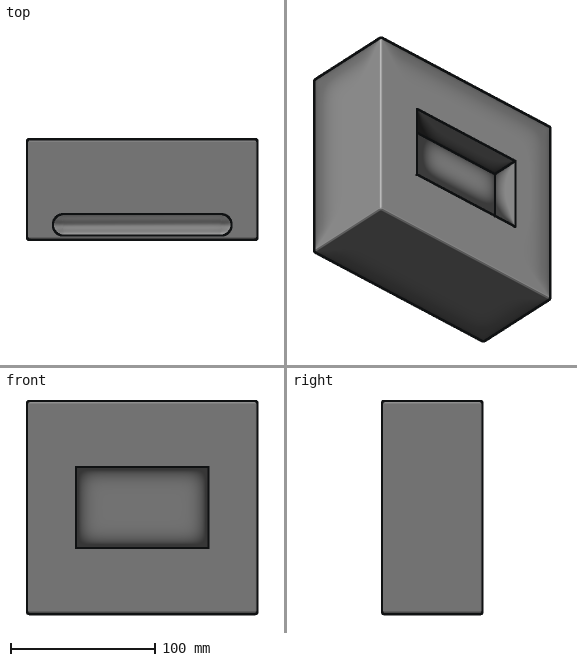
import cadquery as cq

width = 160.0
depth = 70.0
height = 148.0
edge_radius = 2.0

pocket_width = 92.0
pocket_height = 56.0
pocket_depth = 21.0

groove_width = 15.0
groove_depth = 2.0
groove_straight_length = 109.0
groove_from_front = 3.0

groove_radius = ((groove_width / 2) ** 2 + groove_depth**2) / (2 * groove_depth)

front_y = -depth / 2
top_z = height / 2


def rounded_block():
    """Block centred on the origin with every edge rounded."""
    return cq.Workplane("XY").box(width, depth, height).edges().fillet(edge_radius)


def front_pocket():
    """Cutter for the pocket, reaching inwards from the front face."""
    return (
        cq.Workplane("XY")
        .box(pocket_width, pocket_depth, pocket_height)
        .translate((0, front_y + pocket_depth / 2, 0))
    )


def top_groove():
    """Capsule with its axis above the top face, sunk into the block by the groove depth."""
    half_length = groove_straight_length / 2
    bar = cq.Workplane("YZ").circle(groove_radius).extrude(half_length, both=True)
    for end_x in (-half_length, half_length):
        bar = bar.union(cq.Workplane("XY").sphere(groove_radius).translate((end_x, 0, 0)))
    axis_z = top_z + groove_radius - groove_depth
    axis_y = front_y + groove_from_front + groove_width / 2
    return bar.translate((0, axis_y, axis_z))


result = rounded_block().cut(front_pocket()).cut(top_groove())